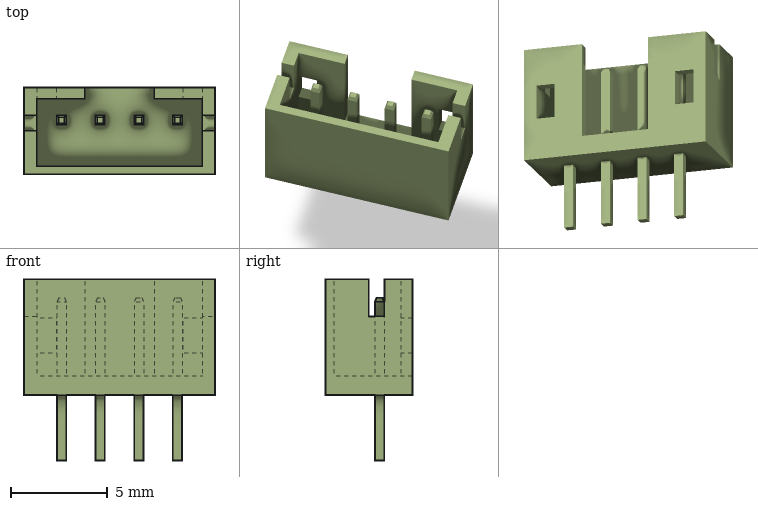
import cadquery as cq


length = 9.9
depth = 4.5
height = 6.01
end_wall = 0.67
front_wall = 0.43
back_wall = 0.6
floor_thickness = 1.0

back_gap_width = 3.6
notch_width = 0.8
notch_depth = 1.93
window_width = 1.0
window_bottom = 2.2
window_top = 4.0

pin_count = 4
pin_pitch = 2.0
pin_width = 0.495
pin_tip_width = 0.3
pin_taper_height = 0.21
pin_below_body = 3.39
pin_top = 5.05
pin_to_back = 1.7

back_y = depth / 2
cavity_length = length - 2 * end_wall
pin_y = back_y - pin_to_back
notch_back_y = pin_y + pin_width / 2


def box(size_x, size_y, size_z, center_x, min_y, min_z):
    """Box centred on center_x that starts at min_y and min_z."""
    blank = cq.Workplane("XY").box(size_x, size_y, size_z, centered=(True, False, False))
    return blank.translate((center_x, min_y, min_z))


def make_housing():
    """Open-topped shroud with end notches, a back gap and two back windows."""
    inner_height = height - floor_thickness
    cavity_depth = depth - front_wall - back_wall
    inner_back_y = back_y - back_wall

    housing = box(length, depth, height, 0, -back_y, 0)
    cavity = box(cavity_length, cavity_depth, inner_height, 0, -back_y + front_wall, floor_thickness)
    back_gap = box(back_gap_width, back_wall, inner_height, 0, inner_back_y, floor_thickness)
    notches = box(length, notch_width, notch_depth, 0, notch_back_y - notch_width, height - notch_depth)
    housing = housing.cut(cavity).cut(back_gap).cut(notches)

    window_x = (cavity_length - window_width) / 2
    for side in (-1, 1):
        window = box(
            window_width, back_wall, window_top - window_bottom, side * window_x, inner_back_y, window_bottom
        )
        housing = housing.cut(window)
    return housing


def make_pin(center_x):
    """Square pin with a flat bottom and a tapered upper tip."""
    shank_length = pin_below_body + pin_top - pin_taper_height
    shank = (
        cq.Workplane("XY", origin=(center_x, pin_y, -pin_below_body))
        .rect(pin_width, pin_width)
        .extrude(shank_length)
    )
    tip = (
        cq.Workplane("XY", origin=(center_x, pin_y, pin_top - pin_taper_height))
        .rect(pin_width, pin_width)
        .workplane(offset=pin_taper_height)
        .rect(pin_tip_width, pin_tip_width)
        .loft()
    )
    return shank.union(tip)


result = make_housing()
for index in range(pin_count):
    pin_x = (index - (pin_count - 1) / 2) * pin_pitch
    result = result.union(make_pin(pin_x))